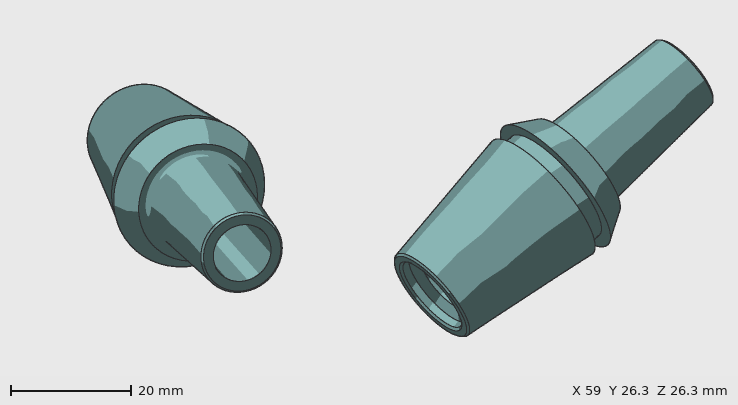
import cadquery as cq

length = 59.0
groove_start = 25.95
groove_end = 28.95
flange_end = 34.0

large_cone_small_radius = 8.95
large_cone_big_radius = 12.55
groove_radius = 11.0
flange_big_radius = 13.13
flange_small_radius = 10.3
stem_root_radius = 8.3
stem_tip_radius = 7.1

end_chamfer = 0.35
neck_fillet = 0.9

bore_radius = 5.0
counterbore_radius = 7.0
mouth_chamfer = 0.4
seat_start = 1.8
seat_end = 3.0


def revolve_about_x(profile):
    """Revolve a closed profile drawn as (x, radius) around the X axis."""
    return profile.close().revolve(360, (0, 0, 0), (1, 0, 0))


def make_body():
    """Two opposed cones separated by a groove and a sharp conical flange."""
    neck_end = flange_end + neck_fillet
    neck_radius = stem_root_radius + neck_fillet
    return revolve_about_x(
        cq.Workplane("XY")
        .moveTo(0, 0)
        .lineTo(0, large_cone_small_radius - end_chamfer)
        .lineTo(end_chamfer, large_cone_small_radius)
        .lineTo(groove_start, large_cone_big_radius)
        .lineTo(groove_start, groove_radius)
        .lineTo(groove_end, groove_radius)
        .lineTo(groove_end, flange_big_radius)
        .lineTo(flange_end, flange_small_radius)
        .lineTo(flange_end, neck_radius)
        .radiusArc((neck_end, stem_root_radius), -neck_fillet)
        .lineTo(length - end_chamfer, stem_tip_radius)
        .lineTo(length, stem_tip_radius - end_chamfer)
        .lineTo(length, 0)
    )


def make_bore():
    """Through bore with a tapered seat and a chamfered counterbore at X = 0."""
    return revolve_about_x(
        cq.Workplane("XY")
        .moveTo(0, 0)
        .lineTo(0, counterbore_radius + mouth_chamfer)
        .lineTo(mouth_chamfer, counterbore_radius)
        .lineTo(seat_start, counterbore_radius)
        .lineTo(seat_end, bore_radius)
        .lineTo(length, bore_radius)
        .lineTo(length, 0)
    )


result = make_body().cut(make_bore())